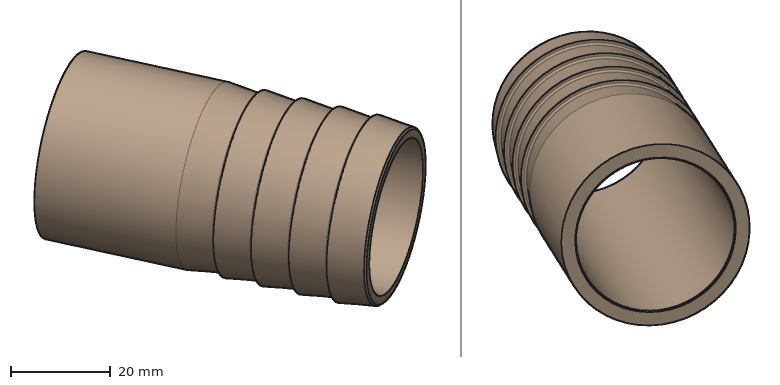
import cadquery as cq
import math

length = 70.0
outer_diameter = 38.6
bore_diameter = 32.4
barb_count = 5
barb_pitch = 8.0
barb_depth = 0.95
root_land = 0.2
root_fillet = 0.4
tip_chamfer = 0.4
bore_chamfer = 0.25

outer_radius = outer_diameter / 2
bore_radius = bore_diameter / 2
root_radius = outer_radius - barb_depth
plain_length = length - barb_count * barb_pitch
taper_length = barb_pitch - root_land - root_fillet
diagonal = math.sqrt(0.5)


def add_barb(outline, crest_x):
    """Draw a taper, its root strip and fillet, and the face up to the next crest."""
    next_crest_x = crest_x + barb_pitch
    fillet_center_x = next_crest_x - root_fillet
    fillet_center_r = root_radius + root_fillet
    fillet_middle = (
        fillet_center_x + root_fillet * diagonal,
        fillet_center_r - root_fillet * diagonal,
    )
    return (
        outline.lineTo(crest_x + taper_length, root_radius)
        .lineTo(fillet_center_x, root_radius)
        .threePointArc(fillet_middle, (next_crest_x, fillet_center_r))
        .lineTo(next_crest_x, outer_radius)
    )


def add_tip(outline):
    """Draw the last taper and the chamfered outer edge of the end face."""
    return (
        outline.lineTo(length - tip_chamfer, root_radius)
        .lineTo(length, root_radius - tip_chamfer)
    )


def make_outline():
    """Half section of the nipple in the XZ plane, Z being the radius."""
    outline = (
        cq.Workplane("XZ")
        .moveTo(bore_chamfer, bore_radius)
        .lineTo(0, bore_radius + bore_chamfer)
        .lineTo(0, outer_radius)
        .lineTo(plain_length, outer_radius)
    )
    for index in range(barb_count - 1):
        outline = add_barb(outline, plain_length + index * barb_pitch)
    return add_tip(outline).lineTo(length, bore_radius).close()


result = make_outline().revolve(360, (0, 0, 0), (1, 0, 0))